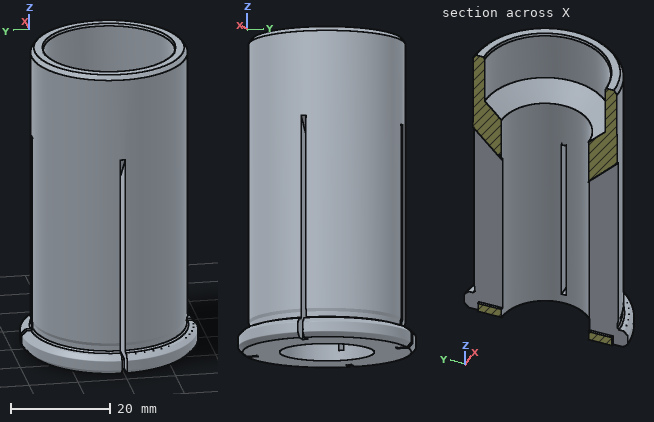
import cadquery as cq

height = 64.0
body_radius = 31.75 / 2
flange_radius = 36.0 / 2

flange_chamfer = 0.95
flange_edge_round = 0.25
flange_height = 4.0
neck_radius = body_radius - 0.2
neck_root_size = 0.4
neck_taper_bottom = 5.5
neck_taper_top = 6.15

lead_in_height = 0.95
lead_in_width = 0.5
rim_break = 0.2

bore_radius = 19.1 / 2
counterbore_radius = 26.5 / 2
counterbore_bottom = 53.05
cone_height = counterbore_radius - bore_radius
bore_lead_in_width = 0.2
bore_lead_in_height = 0.5

slot_count = 4
slot_width = 1.0
slot_top = 45.75
slot_run_out = body_radius - bore_radius
lip_radius = 14.7
lip_height = 2.1
cut_clearance = 1.3


def make_outer_body():
    rim_radius = body_radius - lead_in_width
    root_radius = neck_radius + neck_root_size
    profile = [
        (0, 0),
        (flange_radius - flange_chamfer, 0),
        (flange_radius, flange_chamfer),
        (flange_radius, flange_height - flange_chamfer),
        (flange_radius - flange_chamfer, flange_height),
        (root_radius, flange_height),
        (neck_radius, flange_height + neck_root_size),
        (neck_radius, neck_taper_bottom),
        (body_radius, neck_taper_top),
        (body_radius, height - lead_in_height),
        (rim_radius, height - rim_break),
        (rim_radius - rim_break, height),
        (0, height),
    ]
    body = cq.Workplane("XZ").polyline(profile).close().revolve(360, (0, 0), (0, 1))
    rim_band = cq.selectors.BoxSelector(
        (-height, -height, flange_chamfer / 2),
        (height, height, flange_height + neck_root_size / 2),
        boundingbox=True,
    )
    flange_corners = body.edges("%CIRCLE").edges(rim_band).filter(
        lambda edge: edge.radius() > root_radius + flange_edge_round
    )
    return flange_corners.fillet(flange_edge_round)


def make_bore():
    profile = [
        (0, 0),
        (bore_radius, 0),
        (bore_radius, counterbore_bottom - cone_height),
        (counterbore_radius, counterbore_bottom),
        (counterbore_radius, height - bore_lead_in_height),
        (counterbore_radius + bore_lead_in_width, height),
        (0, height),
    ]
    return cq.Workplane("XZ").polyline(profile).close().revolve(360, (0, 0), (0, 1))


def make_slot(angle):
    inner = bore_radius - cut_clearance
    outer = flange_radius + cut_clearance
    profile = [
        (inner, lip_height),
        (lip_radius, lip_height),
        (lip_radius, -cut_clearance),
        (outer, -cut_clearance),
        (outer, slot_top + outer - body_radius),
        (inner, slot_top - slot_run_out - cut_clearance),
    ]
    slot = cq.Workplane("XZ").polyline(profile).close().extrude(slot_width / 2, both=True)
    return slot.rotate((0, 0, 0), (0, 0, 1), angle)


result = make_outer_body().cut(make_bore())
for index in range(slot_count):
    result = result.cut(make_slot(index * 360 / slot_count))